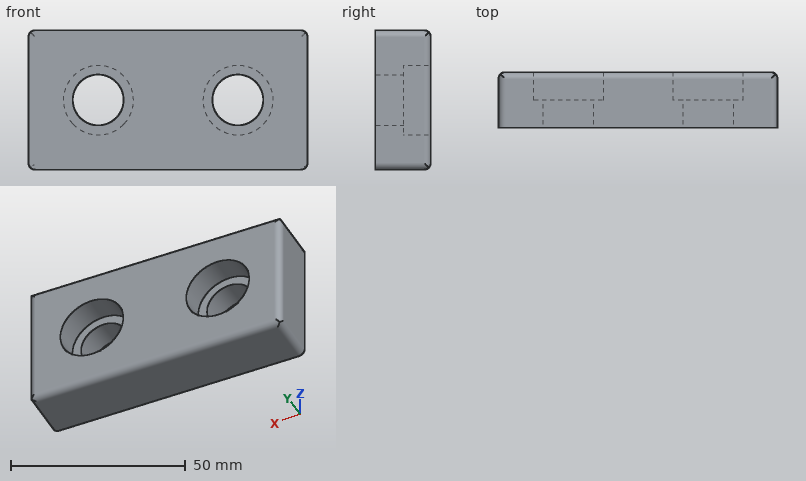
import cadquery as cq

length = 80.0
thickness = 16.0
height = 40.0
edge_radius = 2.0

hole_spacing = length / 2
hole_diameter = 14.5
counterbore_diameter = 20.0
counterbore_depth = 8.0

front_y = -thickness / 2
back_y = thickness / 2


def block_rounded_on(edge_selector):
    """Full block with only the selected edges rounded."""
    block = cq.Workplane("XY").box(length, thickness, height)
    return block.edges(edge_selector).fillet(edge_radius)


def rounded_block():
    """Block with rounded corners and a rounded back rim; the front rim stays sharp.

    Each direction is rounded on its own, so the rounds meet in mitred creases at the back corners.
    """
    block = block_rounded_on("|Y")
    for back_edges in ("|X and >Y", "|Z and >Y"):
        block = block.intersect(block_rounded_on(back_edges))
    return block


def cylinder_along_y(x, diameter, start_y, end_y):
    """Cylinder at mid height, running in +Y from start_y to end_y."""
    axis_start = cq.Vector(x, start_y, 0)
    axis_direction = cq.Vector(0, 1, 0)
    return cq.Solid.makeCylinder(diameter / 2, end_y - start_y, axis_start, axis_direction)


def stepped_hole(x):
    """Through hole with a counterbore opening on the back face."""
    bore = cylinder_along_y(x, hole_diameter, front_y, back_y)
    counterbore = cylinder_along_y(x, counterbore_diameter, back_y - counterbore_depth, back_y)
    return bore.fuse(counterbore)


result = rounded_block()
for hole_x in (-hole_spacing / 2, hole_spacing / 2):
    result = result.cut(cq.Workplane(stepped_hole(hole_x)))